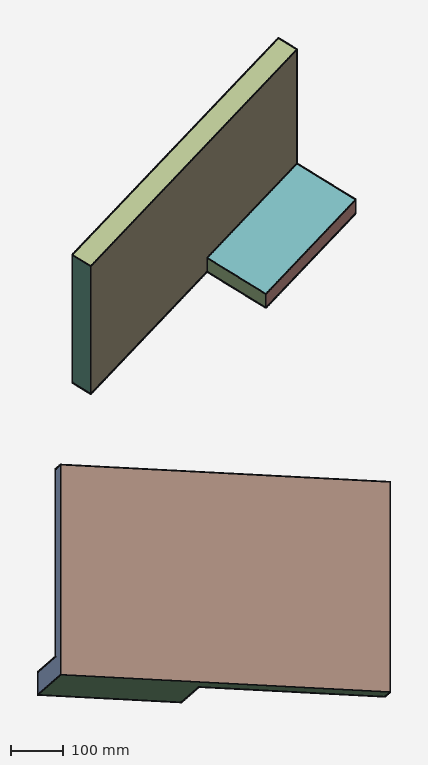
import cadquery as cq

plate_thickness = 44.0
plate_length = 641.5
plate_height = 406.5

overall_width = 184.0
foot_width = overall_width - plate_thickness
foot_length = 279.5
foot_height = plate_thickness

plate = cq.Workplane("XY").box(plate_thickness, plate_length, plate_height, centered=False)

foot = (
    cq.Workplane("XY")
    .box(foot_width, foot_length, foot_height, centered=False)
    .translate((plate_thickness, plate_length - foot_length, 0))
)

result = plate.union(foot)